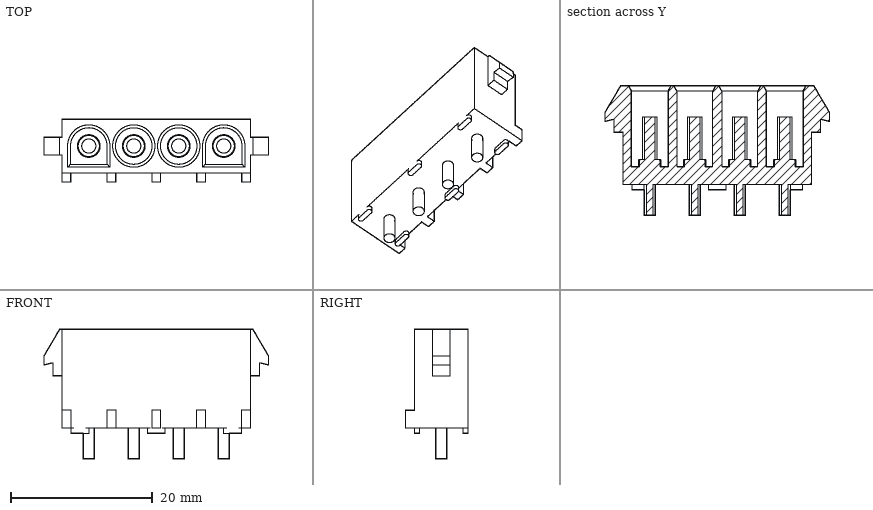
import cadquery as cq


contact_count = 4
pitch = 6.35
contact_xs = [(i - (contact_count - 1) / 2) * pitch for i in range(contact_count)]

housing_length = 26.67
housing_depth = 7.62
housing_height = 13.97
half_length = housing_length / 2
half_depth = housing_depth / 2

cavity_radius = 2.58
lead_in_width = 0.41
lead_in_depth = 0.76
cavity_floor_z = 2.54
mouth_radius = cavity_radius + lead_in_width

collar_diameter = 3.2
collar_height = 1.0
collar_chamfer = 0.1
pin_diameter = 2.0
pin_height = 7.0
tail_diameter = 1.57
tail_length = 4.36

rib_width = 1.27
rib_depth = 1.27
rib_height = 2.54
rib_end_x = half_length - rib_width / 2
rib_xs = [-rib_end_x, -pitch, 0, pitch, rib_end_x]

foot_length = 2.54
foot_width = 0.76
foot_height = 0.76
foot_end_x = half_length - rib_width - foot_length / 2
foot_y = half_depth - foot_width / 2

latch_width = 2.54
latch_reach = 2.54
latch_top_reach = 0.3
latch_stem_reach = 1.27
latch_ramp_drop = 3.81
latch_tip_drop = 5.08
latch_undercut_drop = 4.78
latch_stem_drop = 6.6


def upright_box(length, depth, height):
    """Box centred in X and Y that stands on z = 0."""
    return cq.Workplane("XY").box(length, depth, height, centered=(True, True, False))


def d_outline(plane, radius):
    """Half circle towards +Y, closed by a square lower half."""
    return (
        plane.moveTo(-radius, 0)
        .threePointArc((0, radius), (radius, 0))
        .lineTo(radius, -radius)
        .lineTo(-radius, -radius)
        .close()
    )


def round_outline(plane, radius):
    return plane.circle(radius)


def make_cavity(outline):
    """Cutting body of one cavity with its tapered lead-in, centred on x = y = 0."""
    floor_plane = cq.Workplane("XY").workplane(offset=cavity_floor_z)
    lead_in_z = housing_height - lead_in_depth
    bore = outline(floor_plane, cavity_radius).extrude(lead_in_z - cavity_floor_z)
    narrow_end = outline(cq.Workplane("XY").workplane(offset=lead_in_z), cavity_radius)
    lead_in = outline(narrow_end.workplane(offset=lead_in_depth), mouth_radius).loft(ruled=True)
    return bore.union(lead_in)


def make_contact():
    """Collar and mating pin above the cavity floor, solder tail below the housing."""
    floor_plane = cq.Workplane("XY").workplane(offset=cavity_floor_z)
    collar = floor_plane.circle(collar_diameter / 2).extrude(collar_height)
    collar = collar.faces(">Z").chamfer(collar_chamfer)
    pin = floor_plane.circle(pin_diameter / 2).extrude(pin_height)
    tail_plane = cq.Workplane("XY").workplane(offset=-tail_length)
    tail = tail_plane.circle(tail_diameter / 2).extrude(tail_length + cavity_floor_z)
    return collar.union(pin).union(tail)


def make_latch():
    """Hooked latch on the +X end face."""
    profile = [
        (0, 0),
        (latch_top_reach, 0),
        (latch_reach, latch_ramp_drop),
        (latch_reach, latch_tip_drop),
        (latch_stem_reach, latch_undercut_drop),
        (latch_stem_reach, latch_stem_drop),
        (0, latch_stem_drop),
    ]
    points = [(half_length + reach, housing_height - drop) for reach, drop in profile]
    return cq.Workplane("XZ").polyline(points).close().extrude(latch_width / 2, both=True)


def make_foot():
    """Round-ended standoff hanging below z = 0."""
    return cq.Workplane("XY").slot2D(foot_length, foot_width).extrude(-foot_height)


housing = upright_box(housing_length, housing_depth, housing_height)
rib = upright_box(rib_width, rib_depth, rib_height)
rib_y = -half_depth - rib_depth / 2
for x in rib_xs:
    housing = housing.union(rib.translate((x, rib_y, 0)))

latch = make_latch()
housing = housing.union(latch).union(latch.mirror("YZ"))

foot = make_foot()
for x in (-foot_end_x, 0, foot_end_x):
    for y in (-foot_y, foot_y):
        housing = housing.union(foot.translate((x, y, 0)))

contact = make_contact()
end_xs = (contact_xs[0], contact_xs[-1])
for x in contact_xs:
    cavity_outline = d_outline if x in end_xs else round_outline
    housing = housing.cut(make_cavity(cavity_outline).translate((x, 0, 0)))
    housing = housing.union(contact.translate((x, 0, 0)))

result = housing